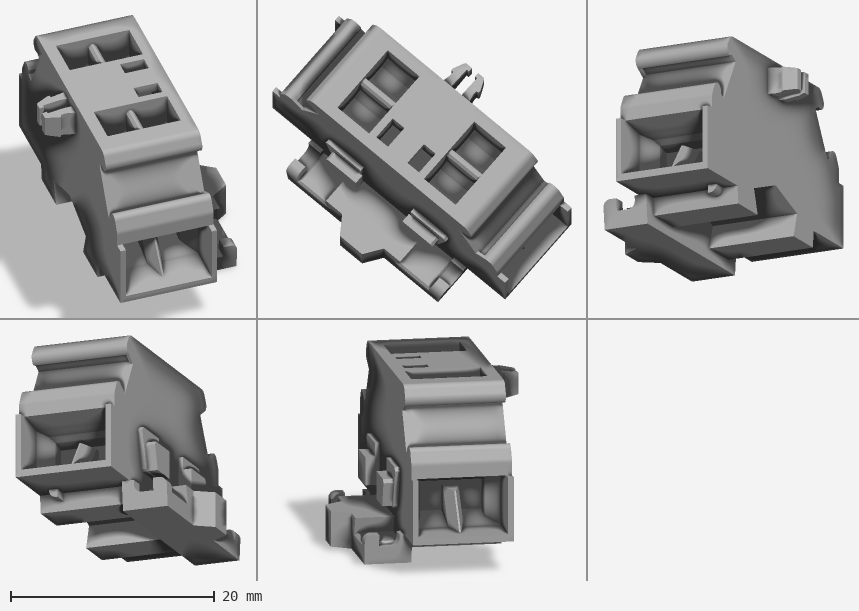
import cadquery as cq
import math


HALF_LENGTH = 15.0
BODY_DEPTH = 10.05
TOP_Z = 18.0
BASE_Z = 2.97
FLANGE_TOP_Z = 9.42
SHOULDER_X = 14.0
FRONT_FOOT_DEPTH = 9.25
FRONT_FOOT_Z = 1.2
FOOT_INNER_X = 8.43
FOOT_INNER_BOTTOM_X = 8.22
DOVETAIL_BOTTOM_X = 3.95
DOVETAIL_TOP_X = 4.77
DOVETAIL_TOP_Z = 3.72
RECESS_APEX_Z = 5.35
STOP_THICKNESS = 0.3

FOOT_BACK_Y = 13.95
FOOT_TOP_HALF_WIDTH = 10.0
FOOT_BOTTOM_HALF_WIDTH = 9.65
TONGUE_TIP_Y = 15.78
TONGUE_ROOT_HALF_WIDTH = 2.7
TONGUE_TIP_HALF_WIDTH = 1.45
SADDLE_Z = 3.57
FLOOR_BEVEL = 0.25

ARM_ROUND = 0.75
ARM_LEAD_IN = 0.25
NOTCH_FRONT_Y = 10.5
NOTCH_BACK_Y = 12.5
NOTCH_Z = 1.7
HOOK_RADIUS = 0.8
HOOK_FRONT_Y = 1.53
HOOK_BACK_Y = 2.45
HOOK_OUTER_X = 9.95

OPENING_X = (3.55, 7.62)
OPENING_Y = (1.25, 8.88)
BAR_Y = (4.62, 5.43)
BAR_TOP_Z = 17.25
BAR_CHAMFER = 0.27
FUNNEL_START_Z = 14.85
FUNNEL_END_Z = 14.4
FUNNEL_INSET = 0.93

MARKER_X = (1.25, 2.75)
MARKER_Y = (6.2, 8.7)
CHANNEL_TOP_Z = 17.05
CHANNEL_FLOOR_Z = 15.45

ENTRY_Y = (0.57, 9.5)
ENTRY_FLOOR_Z = 3.7
ENTRY_TAPER_X = 10.85
THROAT_Y = (1.83, 8.25)
THROAT_X = 8.9
THROAT_END_X = 7.3
THROAT_END_LEAN = 0.2

BLADE_TIP_X = 13.23
BLADE_TOP_X = 10.47
BLADE_TOP_Z = 7.23
BLADE_CENTRE_Y = 5.05
BLADE_TIP_WIDTH = 0.18
BLADE_WIDTH = 1.55

PRONG_LENGTH = 3.0
PRONG_Z = (14.25, 16.92)
PRONG_STRAIGHT = 0.78
PRONG_TAPER = 0.27

LOWER_PAD_Y = 10.53
UPPER_PAD_Y = 11.52

OVERLAP = 0.3


def mirrored(shape):
    """Shape together with its mirror image about X = 0."""
    return shape.union(shape.mirror("YZ"))


def extrude_y(outline, start, end):
    """Extrude an XZ outline from Y = start to Y = end."""
    return outline.extrude(start - end).translate((0, start, 0))


def extrude_x(outline, start, end):
    """Extrude a YZ outline from X = start to X = end."""
    return outline.extrude(end - start).translate((start, 0, 0))


def box(x, y, z):
    """Box between the two ends given for each axis."""
    size = (x[1] - x[0], y[1] - y[0], z[1] - z[0])
    return cq.Workplane().box(*size, centered=False).translate((x[0], y[0], z[0]))


def loft_box(z_a, x_a, y_a, z_b, x_b, y_b):
    """Straight-sided loft between two horizontal rectangles, each given by its ends in X and Y."""
    def section(z, x, y):
        corners = [(x[0], y[0]), (x[1], y[0]), (x[1], y[1]), (x[0], y[1])]
        return cq.Wire.makePolygon([cq.Vector(u, v, z) for u, v in corners], close=True)

    return cq.Workplane(cq.Solid.makeLoft([section(z_a, x_a, y_a), section(z_b, x_b, y_b)], True))


def half_profile():
    """Right half of the body above its base, with the two label grooves and rounded lips."""
    return (
        cq.Workplane("XZ")
        .moveTo(0, BASE_Z)
        .lineTo(HALF_LENGTH, BASE_Z)
        .lineTo(HALF_LENGTH, FLANGE_TOP_Z)
        .lineTo(SHOULDER_X, FLANGE_TOP_Z)
        .lineTo(SHOULDER_X, 10.68)
        .threePointArc((13.98, 10.92), (13.9, 11.13))
        .lineTo(13.47, 11.9)
        .threePointArc((13.0, 12.33), (12.35, 12.18))
        .lineTo(12.12, 11.95)
        .lineTo(12.12, 11.45)
        .lineTo(11.45, 11.1)
        .lineTo(8.82, 15.6)
        .lineTo(9.55, 16.02)
        .lineTo(10.15, 15.87)
        .threePointArc((10.65, 16.4), (10.53, 17.05))
        .lineTo(10.2, 17.58)
        .threePointArc((9.9, 17.88), (9.45, TOP_Z))
        .lineTo(0, TOP_Z)
        .close()
    )


def label_stops():
    """Thin webs that close both label grooves at the back face."""
    upper = cq.Workplane("XZ").polyline([(10.15, 15.87), (9.55, 16.08), (8.75, 15.65), (9.05, 15.25)]).close()
    lower = cq.Workplane("XZ").polyline([(12.35, 12.18), (11.25, 11.58), (11.45, 11.05), (12.18, 11.4)]).close()
    start = BODY_DEPTH - STOP_THICKNESS
    return extrude_y(upper, start, BODY_DEPTH).union(extrude_y(lower, start, BODY_DEPTH))


def front_foot():
    """Foot below the body on one side."""
    outline = [
        (0, BASE_Z + OVERLAP),
        (FOOT_INNER_X, BASE_Z + OVERLAP),
        (FOOT_INNER_X, BASE_Z),
        (FOOT_INNER_BOTTOM_X, FRONT_FOOT_Z),
        (0, FRONT_FOOT_Z),
    ]
    return extrude_y(cq.Workplane("XZ").polyline(outline).close(), 0, FRONT_FOOT_DEPTH)


def tongue_recess():
    """Arrow-shaped recess between the front feet, clearing the next block's tongue."""
    outline = [
        (-DOVETAIL_BOTTOM_X, FRONT_FOOT_Z),
        (DOVETAIL_BOTTOM_X, FRONT_FOOT_Z),
        (DOVETAIL_TOP_X, DOVETAIL_TOP_Z),
        (0, RECESS_APEX_Z),
        (-DOVETAIL_TOP_X, DOVETAIL_TOP_Z),
    ]
    return extrude_y(cq.Workplane("XZ").polyline(outline).close(), 0, FRONT_FOOT_DEPTH)


def snap_hook():
    """Rounded hook under the body on one side."""
    diagonal = HOOK_RADIUS * math.sqrt(0.5)
    centre_y = HOOK_FRONT_Y + HOOK_RADIUS
    outline = (
        cq.Workplane("YZ")
        .moveTo(HOOK_FRONT_Y, BASE_Z)
        .threePointArc((centre_y - diagonal, BASE_Z - diagonal), (centre_y, BASE_Z - HOOK_RADIUS))
        .lineTo(HOOK_BACK_Y, BASE_Z - HOOK_RADIUS)
        .lineTo(HOOK_BACK_Y, BASE_Z + OVERLAP)
        .lineTo(HOOK_FRONT_Y, BASE_Z + OVERLAP)
        .close()
    )
    return extrude_x(outline, FOOT_INNER_X - OVERLAP, HOOK_OUTER_X)


def foot_arm_cut():
    """Material removed above one foot arm: the hook notch and the rounded rear corner."""
    diagonal = HOOK_RADIUS * math.sqrt(0.5)
    centre_y = NOTCH_FRONT_Y + HOOK_RADIUS
    centre_z = NOTCH_Z + HOOK_RADIUS
    notch = (
        cq.Workplane("YZ")
        .moveTo(NOTCH_FRONT_Y, SADDLE_Z)
        .lineTo(NOTCH_FRONT_Y, centre_z)
        .threePointArc((centre_y - diagonal, centre_z - diagonal), (centre_y, NOTCH_Z))
        .lineTo(NOTCH_BACK_Y, NOTCH_Z)
        .lineTo(NOTCH_BACK_Y, SADDLE_Z)
        .close()
    )
    round_offset = ARM_ROUND * (1 - math.sqrt(0.5))
    corner = (
        cq.Workplane("YZ")
        .moveTo(FOOT_BACK_Y - ARM_ROUND, BASE_Z)
        .threePointArc(
            (FOOT_BACK_Y - round_offset, BASE_Z - round_offset),
            (FOOT_BACK_Y, BASE_Z - ARM_ROUND),
        )
        .lineTo(FOOT_BACK_Y, BASE_Z)
        .close()
    )
    outer_x = FOOT_TOP_HALF_WIDTH + OVERLAP
    return extrude_x(notch, FOOT_INNER_X, outer_x).union(extrude_x(corner, FOOT_INNER_X, outer_x))


def foot_well():
    """Hollow above the foot on one side, between its middle and the arm, which leans away at the rear."""
    wall = box((0, FOOT_INNER_X), (BODY_DEPTH, FOOT_BACK_Y), (NOTCH_Z, BASE_Z))
    lead_in = [
        (0, NOTCH_Z),
        (FOOT_INNER_X, NOTCH_Z),
        (FOOT_INNER_X + ARM_LEAD_IN, BASE_Z),
        (0, BASE_Z),
    ]
    return wall.union(extrude_y(cq.Workplane("XZ").polyline(lead_in).close(), NOTCH_BACK_Y, FOOT_BACK_Y))


def foot_floor():
    """Raised floor inside the foot, beveled along the arms and at the rear."""
    rim_x = FOOT_INNER_X - FLOOR_BEVEL
    return loft_box(
        NOTCH_Z, (-FOOT_INNER_X, FOOT_INNER_X), (FRONT_FOOT_DEPTH, FOOT_BACK_Y),
        NOTCH_Z + FLOOR_BEVEL, (-rim_x, rim_x), (FRONT_FOOT_DEPTH, FOOT_BACK_Y - FLOOR_BEVEL),
    )


def rear_foot():
    """Foot behind the body, with its raised saddle and tongue."""
    outline = [
        (-FOOT_BOTTOM_HALF_WIDTH, 0),
        (FOOT_BOTTOM_HALF_WIDTH, 0),
        (FOOT_TOP_HALF_WIDTH, BASE_Z),
        (-FOOT_TOP_HALF_WIDTH, BASE_Z),
    ]
    foot = extrude_y(cq.Workplane("XZ").polyline(outline).close(), FRONT_FOOT_DEPTH, FOOT_BACK_Y)
    foot = foot.cut(mirrored(foot_well().union(foot_arm_cut()))).union(foot_floor())
    saddle = [
        (-DOVETAIL_BOTTOM_X, FRONT_FOOT_Z),
        (DOVETAIL_BOTTOM_X, FRONT_FOOT_Z),
        (DOVETAIL_TOP_X, SADDLE_Z),
        (-DOVETAIL_TOP_X, SADDLE_Z),
    ]
    tongue = [
        (-TONGUE_ROOT_HALF_WIDTH, FRONT_FOOT_DEPTH),
        (TONGUE_ROOT_HALF_WIDTH, FRONT_FOOT_DEPTH),
        (TONGUE_ROOT_HALF_WIDTH, FOOT_BACK_Y),
        (TONGUE_TIP_HALF_WIDTH, TONGUE_TIP_Y),
        (-TONGUE_TIP_HALF_WIDTH, TONGUE_TIP_Y),
        (-TONGUE_ROOT_HALF_WIDTH, FOOT_BACK_Y),
    ]
    foot = foot.union(extrude_y(cq.Workplane("XZ").polyline(saddle).close(), FRONT_FOOT_DEPTH, FOOT_BACK_Y))
    return foot.union(cq.Workplane("XY").polyline(tongue).close().extrude(SADDLE_Z))


def screwdriver_opening():
    """Opening in the top: two funnels side by side below a chamfered dividing bar."""
    opening = box(OPENING_X, OPENING_Y, (FUNNEL_START_Z, TOP_Z))
    bar_shoulder_z = BAR_TOP_Z - BAR_CHAMFER
    bar = [
        (BAR_Y[0], FUNNEL_START_Z),
        (BAR_Y[0], bar_shoulder_z),
        (BAR_Y[0] + BAR_CHAMFER, BAR_TOP_Z),
        (BAR_Y[1] - BAR_CHAMFER, BAR_TOP_Z),
        (BAR_Y[1], bar_shoulder_z),
        (BAR_Y[1], FUNNEL_START_Z),
    ]
    opening = opening.cut(extrude_x(cq.Workplane("YZ").polyline(bar).close(), *OPENING_X))
    for y0, y1 in ((OPENING_Y[0], BAR_Y[0]), (BAR_Y[1], OPENING_Y[1])):
        bottom_y = (y0 + FUNNEL_INSET, y1 - FUNNEL_INSET)
        funnel = loft_box(FUNNEL_START_Z, OPENING_X, (y0, y1), FUNNEL_END_Z, OPENING_X, bottom_y)
        opening = opening.union(funnel)
    return opening


def blade():
    """Leaning wedge in a wire entry: one plan outline swept up along the sloping front ridge."""
    half_tip = BLADE_TIP_WIDTH / 2
    half_width = BLADE_WIDTH / 2
    lean = BLADE_TIP_X - BLADE_TOP_X
    plan = [
        (BLADE_TIP_X, -half_tip),
        (BLADE_TIP_X, half_tip),
        (ENTRY_TAPER_X, half_width),
        (THROAT_END_X, half_width),
        (THROAT_END_X, -half_width),
        (ENTRY_TAPER_X, -half_width),
    ]
    bottom = [cq.Vector(x, BLADE_CENTRE_Y + y, ENTRY_FLOOR_Z) for x, y in plan]
    top = [cq.Vector(x - lean, BLADE_CENTRE_Y + y, BLADE_TOP_Z) for x, y in plan]
    sections = [cq.Wire.makePolygon(points, close=True) for points in (bottom, top)]
    return cq.Workplane(cq.Solid.makeLoft(sections, True))


def wire_entry():
    """Pocket in one end: open-topped mouth, narrowing throat, with the blade left standing."""
    side = [
        (HALF_LENGTH, ENTRY_FLOOR_Z),
        (HALF_LENGTH, FLANGE_TOP_Z),
        (SHOULDER_X, FLANGE_TOP_Z),
        (ENTRY_TAPER_X, 8.85),
        (9.6, 8.52),
        (THROAT_X, 8.05),
        (THROAT_END_X + THROAT_END_LEAN, 7.68),
        (THROAT_END_X, 4.62),
        (ENTRY_TAPER_X, ENTRY_FLOOR_Z),
    ]
    plan = [
        (HALF_LENGTH, ENTRY_Y[0]),
        (HALF_LENGTH, ENTRY_Y[1]),
        (ENTRY_TAPER_X, ENTRY_Y[1]),
        (THROAT_X, THROAT_Y[1]),
        (THROAT_END_X, THROAT_Y[1]),
        (THROAT_END_X, THROAT_Y[0]),
        (THROAT_X, THROAT_Y[0]),
        (ENTRY_TAPER_X, ENTRY_Y[0]),
    ]
    entry = extrude_y(cq.Workplane("XZ").polyline(side).close(), *ENTRY_Y)
    entry = entry.intersect(cq.Workplane("XY").polyline(plan).close().extrude(TOP_Z))
    return entry.cut(blade())


def prong():
    """Barbed coupling prong on one side, thinning in height towards its tip."""
    plan = [
        (0.65, OVERLAP),
        (1.7, OVERLAP),
        (1.7, 0),
        (1.5, -1.0),
        (1.5, -1.45),
        (1.77, -1.5),
        (1.77, -1.7),
        (1.32, -2.75),
        (1.17, -PRONG_LENGTH),
        (0.4, -PRONG_LENGTH),
        (0.4, -2.52),
        (0.65, -2.52),
    ]
    side = [
        (OVERLAP, PRONG_Z[0]),
        (-PRONG_STRAIGHT, PRONG_Z[0]),
        (-PRONG_LENGTH, PRONG_Z[0] + PRONG_TAPER),
        (-PRONG_LENGTH, PRONG_Z[1] - PRONG_TAPER),
        (-PRONG_STRAIGHT, PRONG_Z[1]),
        (OVERLAP, PRONG_Z[1]),
    ]
    height = extrude_x(cq.Workplane("YZ").polyline(side).close(), 0, HALF_LENGTH)
    return cq.Workplane("XY").polyline(plan).close().extrude(TOP_Z).intersect(height)


def back_pads():
    """Two stacked pads on one side of the back face, with leaning outer sides and cut corners."""
    lower = [(3.2, 4.85), (6.48, 4.85), (6.7, 5.07), (7.75, 8.8), (7.45, 9.15), (3.2, 9.15)]
    upper = [(3.0, 4.98), (6.15, 4.98), (6.85, 7.45), (6.6, 7.8), (3.0, 7.8)]
    lower_start = BODY_DEPTH - OVERLAP
    lower_pad = extrude_y(cq.Workplane("XZ").polyline(lower).close(), lower_start, LOWER_PAD_Y)
    upper_pad = extrude_y(cq.Workplane("XZ").polyline(upper).close(), LOWER_PAD_Y, UPPER_PAD_Y)
    return lower_pad.union(upper_pad)


half_body = extrude_y(half_profile(), 0, BODY_DEPTH).union(label_stops()).union(front_foot())
body = mirrored(half_body.union(snap_hook())).cut(tongue_recess())

marker_slot = box(MARKER_X, MARKER_Y, (CHANNEL_FLOOR_Z, TOP_Z))
marker_slot = marker_slot.union(box((0, MARKER_X[1]), MARKER_Y, (CHANNEL_FLOOR_Z, CHANNEL_TOP_Z)))
for cutter in (screwdriver_opening(), marker_slot, wire_entry()):
    body = body.cut(mirrored(cutter))

result = body.union(rear_foot()).union(mirrored(prong())).union(mirrored(back_pads()))